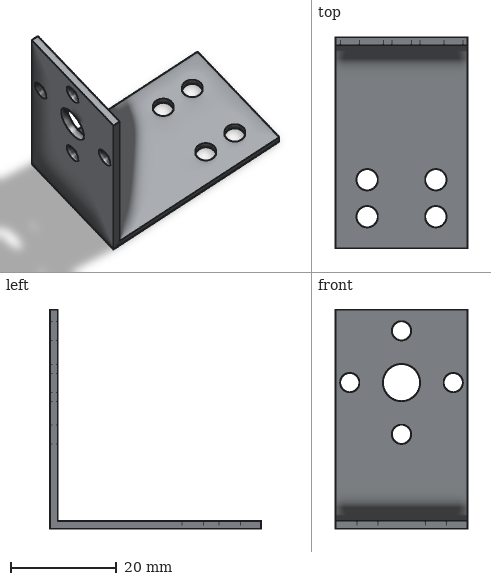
import cadquery as cq

width = 25.0
base_depth = 40.0
wall_height = 40.0
thickness = 1.5

shaft_hole_diameter = 7.0
shaft_hole_drop = 13.8
motor_screw_diameter = 3.6
motor_screw_radius = 9.8

base_hole_diameter = 4.0
base_hole_spacing_x = 13.0
base_hole_spacing_y = 7.0
base_hole_edge_distance = 6.0

total_height = thickness + wall_height
shaft_hole_z = total_height - shaft_hole_drop
base_hole_center_y = base_hole_edge_distance + base_hole_spacing_y / 2


def make_bracket():
    """L-shaped profile in the YZ plane, extruded across the width."""
    profile = [
        (0, 0),
        (base_depth, 0),
        (base_depth, total_height),
        (base_depth - thickness, total_height),
        (base_depth - thickness, thickness),
        (0, thickness),
    ]
    return cq.Workplane("YZ").polyline(profile).close().extrude(width / 2, both=True)


def make_wall_holes():
    """Shaft hole and the four screw holes around it, running along Y through the wall."""
    back_face = cq.Workplane("XZ", origin=(0, base_depth, shaft_hole_z))
    shaft_hole = back_face.circle(shaft_hole_diameter / 2).extrude(thickness)
    screw_holes = (
        back_face.polarArray(motor_screw_radius, 0, 360, 4)
        .circle(motor_screw_diameter / 2)
        .extrude(thickness)
    )
    return shaft_hole.union(screw_holes)


def make_base_holes():
    """Two rows of two holes through the base."""
    return (
        cq.Workplane("XY", origin=(0, base_hole_center_y, 0))
        .rarray(base_hole_spacing_x, base_hole_spacing_y, 2, 2)
        .circle(base_hole_diameter / 2)
        .extrude(thickness)
    )


result = make_bracket().cut(make_wall_holes()).cut(make_base_holes())